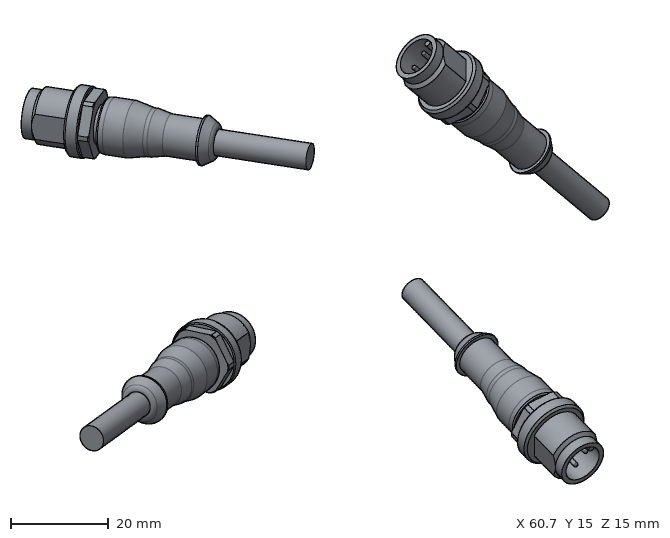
import cadquery as cq
import math

total_length = 60.7

nose_dia = 10.5
nose_end = 2.25
body_dia = 12.0
body_start = 3.0
body_flat_width = nose_dia

flange_dia = 15.0
flange_start = 9.8
flange_end = 12.85
flange_front_chamfer = 0.5
flange_back_chamfer = 0.25

hex_across_flats = 13.0
hex_corner_dia = 14.45
hex_end = 15.25
hex_end_chamfer = 0.2

neck_dia = 8.4

grip_start = 16.3
grip_rim_end = 16.7
grip_full_start = 17.8
grip_taper_start = 22.2
band_start = 26.2
band_end = 27.15
sleeve_start = 30.2
grip_dia = body_dia
grip_face_dia = 11.3
grip_rim_dia = 11.8
band_dia = 10.2
sleeve_dia = 8.8

collar_start = 37.7
collar_rim_end = 38.1
collar_cone_end = 40.05
collar_end = 40.7
collar_dia = nose_dia
collar_cone_dia = 8.15
collar_face_dia = 5.75

cable_dia = 5.5

socket_dia = 8.3
socket_depth = 8.5
pin_count = 4
pin_dia = 1.0
pin_circle_radius = 2.5
pin_tip = 2.1
pin_tip_rounding = 0.35
key_dia = 1.35
key_circle_radius = 3.6
key_start = 0.5
key_angle = 135


def cylinder(start, end, diameter, y=0.0, z=0.0):
    """Cylinder along X from start to end, centred on (y, z)."""
    base = cq.Workplane("YZ", origin=(start, y, z))
    return base.circle(diameter / 2).extrude(end - start)


def around_axis(radius, angle):
    """Point (y, z) at a radius and an angle measured from +Y towards +Z."""
    turn = math.radians(angle)
    return radius * math.cos(turn), radius * math.sin(turn)


def make_plug_body():
    """Round nose and body, with a flat on the +Y and -Y sides of the body."""
    profile = [
        (0, 0),
        (0, nose_dia / 2),
        (nose_end, nose_dia / 2),
        (body_start, body_dia / 2),
        (flange_start, body_dia / 2),
        (flange_start, 0),
    ]
    body = cq.Workplane("XY").polyline(profile).close().revolve(360, (0, 0, 0), (1, 0, 0))
    between_flats = cq.Workplane("XY").box(
        flange_start, body_flat_width, body_dia, centered=(False, True, True)
    )
    return body.intersect(between_flats)


def make_flange():
    flange = cylinder(flange_start, flange_end, flange_dia)
    flange = flange.faces("<X").chamfer(flange_front_chamfer)
    return flange.faces(">X").chamfer(flange_back_chamfer)


def make_hexagon():
    """Hexagon with flats facing +Z and -Z, turned-down corners chamfered at the end."""
    across_corners = hex_across_flats / math.cos(math.pi / 6)
    length = hex_end - flange_end
    hexagon = cq.Workplane("YZ", origin=(flange_end, 0, 0)).polygon(6, across_corners).extrude(length)
    turned = cylinder(flange_end, hex_end, hex_corner_dia).faces(">X").chamfer(hex_end_chamfer)
    return hexagon.intersect(turned)


def make_grip():
    """Tapered grip, straight sleeve and cable collar, as one turned shape."""
    rim = (grip_rim_end, grip_rim_dia / 2)
    full = (grip_full_start, grip_dia / 2)
    rim_length = grip_full_start - grip_rim_end
    rim_rise = (grip_dia - grip_rim_dia) / 2
    rim_radius = (rim_length**2 + rim_rise**2) / (2 * rim_rise)
    front = [
        (grip_start, 0),
        (grip_start, grip_face_dia / 2),
        rim,
    ]
    outside = [
        (grip_taper_start, grip_dia / 2),
        (band_start, band_dia / 2),
        (band_end, band_dia / 2),
        (sleeve_start, sleeve_dia / 2),
        (collar_start, sleeve_dia / 2),
        (collar_start, collar_dia / 2),
        (collar_rim_end, collar_dia / 2),
        (collar_cone_end, collar_cone_dia / 2),
    ]
    outline = cq.Workplane("XY").polyline(front)
    outline = outline.radiusArc(full, rim_radius)
    outline = outline.polyline(outside, includeCurrent=True)
    outline = outline.tangentArcPoint((collar_end, collar_face_dia / 2), relative=False)
    return outline.lineTo(collar_end, 0).close().revolve(360, (0, 0, 0), (1, 0, 0))


def make_pin(angle):
    y, z = around_axis(pin_circle_radius, angle)
    return cylinder(pin_tip, socket_depth, pin_dia, y, z).faces("<X").fillet(pin_tip_rounding)


def make_key():
    """Round coding rib along the socket wall."""
    y, z = around_axis(key_circle_radius, key_angle)
    return cylinder(key_start, socket_depth, key_dia, y, z)


result = make_plug_body().union(make_flange()).union(make_hexagon())
result = result.union(cylinder(hex_end, grip_start, neck_dia))
result = result.union(make_grip())
result = result.union(cylinder(collar_end, total_length, cable_dia))

result = result.cut(cylinder(0, socket_depth, socket_dia))
for index in range(pin_count):
    result = result.union(make_pin(index * 360 / pin_count))
result = result.union(make_key())